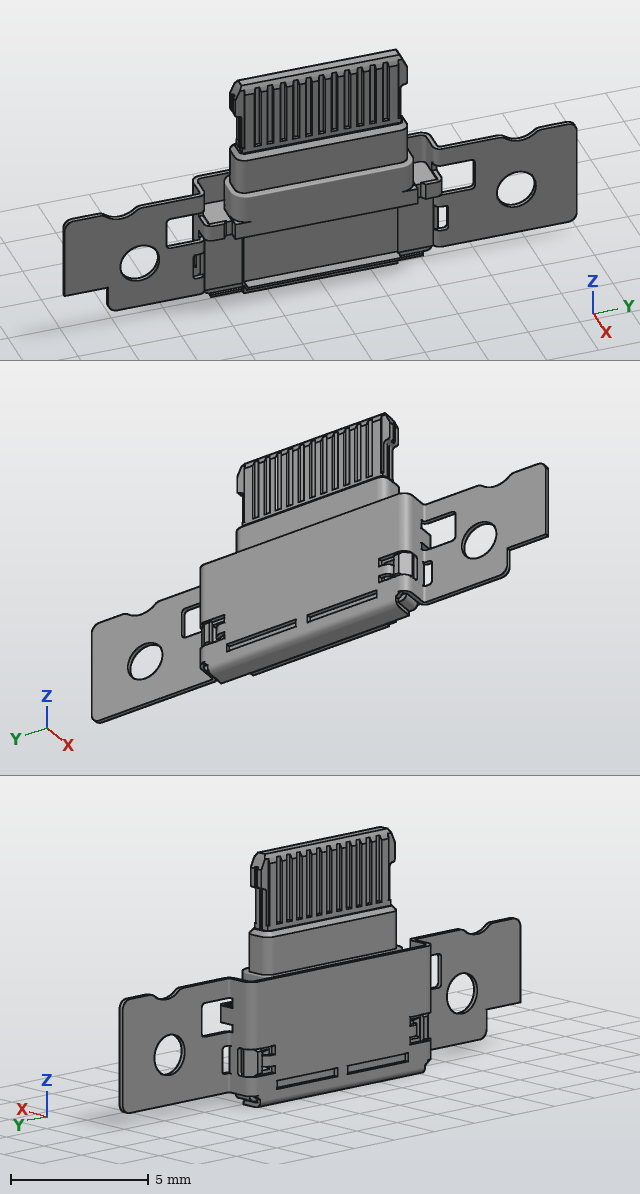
import cadquery as cq
import math


SHEET = 0.18
SHELL_HALF = 4.6
SHELL_RADIUS = 0.38
SHELL_BOTTOM = 0.5
SHELL_TOP = 4.76
INNER_HALF = SHELL_HALF - SHEET
FLANGE_X = 1.13
FLANGE_BACK = FLANGE_X + SHEET
BEND_INNER_RADIUS = 0.1
BEND_OUTER_RADIUS = BEND_INNER_RADIUS + SHEET

EAR_END = 9.92
EAR_RADIUS = 0.35
EAR_STEP_Y = 8.23
EAR_STEP_Z = 1.57
HOLE_DIAMETER = 1.5
HOLE_Z = 2.36
HOLE_Y_POSITIONS = (7.58, -7.0)
SCALLOP_Y = 7.74
SCALLOP_HALF = 0.67
SCALLOP_DEPTH = 0.3
SCALLOP_BLEND = 0.4

WINDOW_BOTTOM = 2.75
WINDOW_TOP = 4.03
WINDOW_END = 5.97
WINDOW_X = 0.97
WINDOW_RADIUS = 0.15
TAB_BOTTOM = 3.04
TAB_TOP = 3.67
TAB_BACK = 1.77
TAB_TIP_Y = 3.77
TAB_TIP_TAPER = 0.14

CLIP_BOTTOM = 1.21
CLIP_TOP = 2.25
CLIP_INNER_Y = 3.37
CLIP_DEPTH = 0.67
CLIP_RELIEF_Y = 4.95
CLIP_RELIEF_RADIUS = 0.12
CLIP_OPENING_RADIUS = 0.1
BUMP_INNER_Y = 4.03
BUMP_FLAT_END_Y = 4.25
BUMP_BEVEL_DEPTH = 0.35
BUMP_CHAMFER = 0.1
TONGUE_BEND_Y = 3.55
TONGUE_TIP_Y = 3.87
TONGUE_BOTTOM = 1.49
TONGUE_TOP = 1.9
TONGUE_TIP_X = 0.3
PIT_BOTTOM = 1.35
PIT_TOP = 2.1
PIT_INNER_Y = 3.5
PIT_OUTER_Y = 4.0
PIT_DEPTH = 0.22
PIT_TAPER_ANGLE = 30

SLOT_BOTTOM = 0.6
SLOT_TOP = 0.91
SLOT_INNER_Y = 0.25
SLOT_OUTER_Y = 3.27
LIP_HALF = 4.1
LIP_END = 0.91
LIP_RADIUS = 0.25
LIP_TIP_CHAMFER = 0.08
LIP_CORNER_Z = 0.32
LIP_CORNER_HALF = 4.35

BASE_BOTTOM = 0.24
BASE_BACK = 1.0
BASE_GAP = 0.05
BASE_FILLET = 0.24
LEDGE_BACK = 1.59
LEDGE_TOP = 3.61
BLOCK_HALF = 3.53
BLOCK_FRONT = 0.24
BLOCK_BACK = 1.95
BLOCK_CORNER_RADIUS = 0.6
BLOCK_TOP_FILLET = 0.04

TERMINAL_HALF = 2.98
TERMINAL_BOTTOM = 0.15
TERMINAL_BACK = 1.75
TERMINAL_THICKNESS = 0.18
TERMINAL_TIP = 0.12

PLUG_X = 1.07
COLLAR_HALF = 3.33
COLLAR_THICKNESS = 1.2
COLLAR_RADIUS = 0.38
COLLAR_TOP = 6.35
COLLAR_CHAMFER = 0.18
BLADE_TOP = 9.2
BLADE_HALF = 3.08
BLADE_THICKNESS = 0.7
BLADE_SHOULDER_Z = 8.87
BLADE_CHAMFER_Z = 9.05
BLADE_TOP_FLAT = 0.38
CONTACT_DEPTH = 0.05
CONTACT_BOTTOM = 6.55
CONTACT_COUNT = 11
CONTACT_PITCH = 0.5
CONTACT_WIDTH = 0.25
CONTACT_FLOOR_WIDTH = 0.15
RIB_HALF = 2.98
LATCH_HALF = COLLAR_HALF
LATCH_SHOULDER_HALF = 3.15
LATCH_TOP_HALF = 3.05
LATCH_SLOPE_BOTTOM = 8.67
LATCH_BOTTOM = 7.94
LATCH_OUTER_FILLET = 0.1
LATCH_INNER_FILLET = 0.14
EDGE_GROOVE_WIDTH = 0.14
EDGE_GROOVE_DEPTH = 0.05
EDGE_GROOVE_TOP = 8.73

MIRROR_SIDES = (-1, 1)

nearest_to = cq.selectors.NearestToPointSelector


def box(x0, x1, y0, y1, z0, z1):
    """Axis-aligned block between two corners; Y limits may come in either order."""
    return cq.Workplane("XY").box(x1 - x0, abs(y1 - y0), z1 - z0).translate(
        ((x0 + x1) / 2, (y0 + y1) / 2, (z0 + z1) / 2)
    )


def centred(x0, x1, half, z0, z1):
    return box(x0, x1, -half, half, z0, z1)


def plan_prism(points, z0, z1):
    """Extrude an XY outline between two heights."""
    return cq.Workplane("XY").workplane(offset=z0).polyline(points).close().extrude(z1 - z0)


def face_prism(points, x0, x1):
    """Extrude a YZ outline between two X positions."""
    return cq.Workplane("YZ").workplane(offset=x0).polyline(points).close().extrude(x1 - x0)


def side_prism(points, half):
    """Extrude an XZ outline symmetrically along Y."""
    return cq.Workplane("XZ").polyline(points).close().extrude(half, both=True)


def fillet_vertical_edge(body, x, y, radius):
    return body.edges(nearest_to((x, y, (SHELL_BOTTOM + SHELL_TOP) / 2))).fillet(radius)


def make_bent_sheet():
    tray = centred(0, FLANGE_BACK, SHELL_HALF, SHELL_BOTTOM, SHELL_TOP)
    sheet = tray.union(centred(FLANGE_X, FLANGE_BACK, EAR_END, SHELL_BOTTOM, SHELL_TOP))
    sheet = sheet.cut(centred(SHEET, FLANGE_BACK, INNER_HALF, SHELL_BOTTOM, SHELL_TOP))
    for side in MIRROR_SIDES:
        sheet = fillet_vertical_edge(sheet, 0, side * SHELL_HALF, SHELL_RADIUS)
        sheet = fillet_vertical_edge(sheet, SHEET, side * INNER_HALF, SHELL_RADIUS - SHEET)
        sheet = fillet_vertical_edge(sheet, FLANGE_X, side * SHELL_HALF, BEND_INNER_RADIUS)
        sheet = fillet_vertical_edge(sheet, FLANGE_BACK, side * INNER_HALF, BEND_OUTER_RADIUS)
    return sheet


def make_scallop(y_centre):
    """Shallow rounded dip in the top edge of an ear, blended into the edge."""
    return (
        cq.Workplane("YZ")
        .workplane(offset=FLANGE_X)
        .moveTo(y_centre - SCALLOP_HALF, SHELL_TOP)
        .threePointArc((y_centre, SHELL_TOP - SCALLOP_DEPTH), (y_centre + SCALLOP_HALF, SHELL_TOP))
        .close()
        .extrude(SHEET)
    )


def trim_ears(sheet):
    sheet = sheet.cut(box(FLANGE_X, FLANGE_BACK, -EAR_END, -EAR_STEP_Y, SHELL_BOTTOM, EAR_STEP_Z))
    rounded_corners = (
        (EAR_END, SHELL_TOP),
        (EAR_END, SHELL_BOTTOM),
        (-EAR_END, SHELL_TOP),
        (-EAR_STEP_Y, SHELL_BOTTOM),
    )
    ear_middle_x = (FLANGE_X + FLANGE_BACK) / 2
    for y, z in rounded_corners:
        sheet = sheet.edges(nearest_to((ear_middle_x, y, z))).fillet(EAR_RADIUS)
    for side in MIRROR_SIDES:
        sheet = sheet.cut(make_scallop(side * SCALLOP_Y))
        for rim in (-SCALLOP_HALF, SCALLOP_HALF):
            corner = (ear_middle_x, side * SCALLOP_Y + rim, SHELL_TOP)
            sheet = sheet.edges(nearest_to(corner)).fillet(SCALLOP_BLEND)
    holes = (
        cq.Workplane("YZ")
        .workplane(offset=FLANGE_X)
        .pushPoints([(y, HOLE_Z) for y in HOLE_Y_POSITIONS])
        .circle(HOLE_DIAMETER / 2)
        .extrude(SHEET)
    )
    return sheet.cut(holes)


def make_ear_window(side):
    y_inner = side * (INNER_HALF - SHEET)
    window = box(WINDOW_X, FLANGE_BACK, y_inner, side * WINDOW_END, WINDOW_BOTTOM, WINDOW_TOP)
    outer_face = ">Y" if side > 0 else "<Y"
    return window.faces(outer_face).edges("|X").fillet(WINDOW_RADIUS)


def make_tab(side):
    """Side wall strip carried past the ears and curled inwards behind the ledge."""
    wall = box(WINDOW_X, TAB_BACK, side * INNER_HALF, side * SHELL_HALF, TAB_BOTTOM, TAB_TOP)
    hook = plan_prism(
        [
            (TAB_BACK, side * SHELL_HALF),
            (TAB_BACK, side * (TAB_TIP_Y + TAB_TIP_TAPER)),
            (TAB_BACK - SHEET, side * TAB_TIP_Y),
            (TAB_BACK - SHEET, side * SHELL_HALF),
        ],
        TAB_BOTTOM,
        TAB_TOP,
    )
    tab = wall.union(hook)
    corner = (TAB_BACK, side * SHELL_HALF, (TAB_BOTTOM + TAB_TOP) / 2)
    return tab.edges(nearest_to(corner)).fillet(BEND_OUTER_RADIUS)


def make_clip_opening(side):
    front = box(0, CLIP_DEPTH, side * CLIP_INNER_Y, side * SHELL_HALF, CLIP_BOTTOM, CLIP_TOP)
    front = front.faces(">X").edges("|Y").fillet(CLIP_OPENING_RADIUS)
    relief_front = FLANGE_X - BEND_INNER_RADIUS
    relief = box(relief_front, FLANGE_BACK, side * SHELL_HALF, side * CLIP_RELIEF_Y, CLIP_BOTTOM, CLIP_TOP)
    outer_face = ">Y" if side > 0 else "<Y"
    relief = relief.faces(outer_face).edges("|X").fillet(CLIP_RELIEF_RADIUS)
    bend_gap = box(FLANGE_X, FLANGE_BACK, side * INNER_HALF, side * SHELL_HALF, CLIP_BOTTOM, CLIP_TOP)
    return front.union(relief).union(bend_gap)


def make_tongue(side):
    """Tongue of the front wall that curves inwards inside the clip opening."""
    return (
        cq.Workplane("XY")
        .workplane(offset=TONGUE_BOTTOM)
        .moveTo(0, side * CLIP_INNER_Y)
        .lineTo(0, side * TONGUE_BEND_Y)
        .tangentArcPoint((TONGUE_TIP_X, side * TONGUE_TIP_Y), relative=False)
        .lineTo(SHEET, side * TONGUE_BEND_Y)
        .lineTo(SHEET, side * CLIP_INNER_Y)
        .close()
        .extrude(TONGUE_TOP - TONGUE_BOTTOM)
    )


def make_bump(side):
    """Bevelled housing bump that fills the corner of the clip opening."""
    bump = plan_prism(
        [
            (0, side * BUMP_INNER_Y),
            (0, side * BUMP_FLAT_END_Y),
            (BUMP_BEVEL_DEPTH, side * SHELL_HALF),
            (BUMP_BEVEL_DEPTH + BUMP_CHAMFER, side * SHELL_HALF),
            (BUMP_BEVEL_DEPTH + BUMP_CHAMFER, side * BUMP_INNER_Y),
        ],
        CLIP_BOTTOM,
        CLIP_TOP,
    )
    return bump.faces("<X").edges("|Y").chamfer(BUMP_CHAMFER)


def make_pit(side):
    """Tapered pit in the housing that gives the tongue room to bend inwards."""
    return (
        cq.Workplane("YZ")
        .workplane(offset=SHEET)
        .center(side * (PIT_INNER_Y + PIT_OUTER_Y) / 2, (PIT_BOTTOM + PIT_TOP) / 2)
        .rect(PIT_OUTER_Y - PIT_INNER_Y, PIT_TOP - PIT_BOTTOM)
        .extrude(PIT_DEPTH, taper=PIT_TAPER_ANGLE)
    )


def make_lip():
    lower_wall = face_prism(
        [
            (-LIP_CORNER_HALF, SHELL_BOTTOM),
            (-LIP_HALF, LIP_CORNER_Z),
            (LIP_HALF, LIP_CORNER_Z),
            (LIP_CORNER_HALF, SHELL_BOTTOM),
        ],
        0,
        SHEET,
    )
    fold = side_prism(
        [
            (0, LIP_CORNER_Z),
            (0, 0),
            (LIP_END, 0),
            (LIP_END, SHEET - LIP_TIP_CHAMFER),
            (LIP_END - LIP_TIP_CHAMFER, SHEET),
            (SHEET, SHEET),
            (SHEET, LIP_CORNER_Z),
        ],
        LIP_HALF,
    )
    fold = fold.edges(nearest_to((0, 0, 0))).fillet(LIP_RADIUS)
    return lower_wall.union(fold)


def make_shell():
    shell = trim_ears(make_bent_sheet())
    for side in MIRROR_SIDES:
        shell = shell.cut(make_ear_window(side)).union(make_tab(side))
        shell = shell.cut(make_clip_opening(side)).union(make_tongue(side))
        shell = shell.cut(box(0, SHEET, side * SLOT_INNER_Y, side * SLOT_OUTER_Y, SLOT_BOTTOM, SLOT_TOP))
    return shell.union(make_lip())


def make_housing():
    core = centred(SHEET, FLANGE_X, INNER_HALF, SHELL_BOTTOM, LEDGE_TOP)
    core = core.edges("|Z and <X").fillet(SHELL_RADIUS - SHEET)
    foot = centred(SHEET + BASE_GAP, BASE_BACK, INNER_HALF, BASE_BOTTOM, SHELL_BOTTOM)
    foot = foot.faces("<Z").edges("|X").fillet(BASE_FILLET)
    ledge = centred(FLANGE_X, LEDGE_BACK, INNER_HALF, TAB_BOTTOM, LEDGE_TOP)
    block = centred(FLANGE_X, BLOCK_BACK, BLOCK_HALF, TAB_BOTTOM, TAB_TOP)
    rim = centred(BLOCK_FRONT, BLOCK_BACK, BLOCK_HALF, LEDGE_TOP, SHELL_TOP)
    rim = rim.edges("|Z").fillet(BLOCK_CORNER_RADIUS)
    rim = rim.faces(">Z").edges().fillet(BLOCK_TOP_FILLET)
    housing = core.union(foot).union(ledge).union(block).union(rim)
    for side in MIRROR_SIDES:
        housing = housing.union(make_bump(side)).cut(make_pit(side))
    return housing


def make_terminals():
    """Upright bar behind the housing with a tapered foot pointing backwards."""
    upright = centred(FLANGE_X, FLANGE_BACK, TERMINAL_HALF, TERMINAL_BOTTOM, TAB_BOTTOM)
    foot_top = SHELL_BOTTOM + TERMINAL_THICKNESS
    foot = side_prism(
        [
            (FLANGE_BACK, SHELL_BOTTOM),
            (TERMINAL_BACK - TERMINAL_TIP, SHELL_BOTTOM),
            (TERMINAL_BACK, foot_top - TERMINAL_THICKNESS / 2),
            (TERMINAL_BACK, foot_top),
            (FLANGE_BACK, foot_top),
        ],
        TERMINAL_HALF,
    )
    return upright.union(foot)


def make_collar():
    half_thickness = COLLAR_THICKNESS / 2
    collar = centred(PLUG_X - half_thickness, PLUG_X + half_thickness, COLLAR_HALF, TAB_TOP, COLLAR_TOP)
    return collar.edges("|Z").fillet(COLLAR_RADIUS).faces(">Z").edges().chamfer(COLLAR_CHAMFER)


def make_contact_groove(surface_x, inward, y):
    """Groove with sloping walls, cut from a blade face in the given X direction and open at the top."""
    taper = math.degrees(math.atan2((CONTACT_WIDTH - CONTACT_FLOOR_WIDTH) / 2, CONTACT_DEPTH))
    length = BLADE_TOP + CONTACT_WIDTH - CONTACT_BOTTOM
    return (
        cq.Workplane("YZ")
        .workplane(offset=surface_x)
        .center(y, CONTACT_BOTTOM + length / 2)
        .rect(CONTACT_WIDTH, length)
        .extrude(inward * CONTACT_DEPTH, taper=taper)
    )


def make_blade():
    half = BLADE_THICKNESS / 2
    groove_half = half - CONTACT_DEPTH
    top_half = BLADE_TOP_FLAT / 2
    right_profile = [
        (half, COLLAR_TOP),
        (half, BLADE_SHOULDER_Z),
        (groove_half, BLADE_CHAMFER_Z),
        (top_half, BLADE_TOP),
    ]
    left_profile = [(-x, z) for x, z in reversed(right_profile)]
    cross_section = [(PLUG_X + x, z) for x, z in right_profile + left_profile]

    right_edge = [
        (BLADE_HALF, COLLAR_TOP),
        (BLADE_HALF, LATCH_BOTTOM),
        (LATCH_HALF, LATCH_BOTTOM),
        (LATCH_HALF, LATCH_SLOPE_BOTTOM),
        (LATCH_SHOULDER_HALF, BLADE_CHAMFER_Z),
        (LATCH_TOP_HALF, BLADE_TOP),
    ]
    left_edge = [(-y, z) for y, z in reversed(right_edge)]
    outline = face_prism(right_edge + left_edge, PLUG_X - half, PLUG_X + half)
    for side in MIRROR_SIDES:
        for y, radius in ((LATCH_HALF, LATCH_OUTER_FILLET), (BLADE_HALF, LATCH_INNER_FILLET)):
            corner = (PLUG_X, side * y, LATCH_BOTTOM)
            outline = outline.edges(nearest_to(corner)).fillet(radius)
    blade = outline.intersect(side_prism(cross_section, LATCH_HALF))

    for face in MIRROR_SIDES:
        x0, x1 = sorted((PLUG_X + face * half, PLUG_X + face * groove_half))
        for index in range(CONTACT_COUNT):
            y = (index - (CONTACT_COUNT - 1) / 2) * CONTACT_PITCH
            blade = blade.cut(make_contact_groove(PLUG_X + face * half, -face, y))
        for side in MIRROR_SIDES:
            blade = blade.cut(box(x0, x1, side * RIB_HALF, side * LATCH_HALF, CONTACT_BOTTOM, BLADE_TOP))

    groove_x0 = PLUG_X - EDGE_GROOVE_WIDTH / 2
    groove_x1 = PLUG_X + EDGE_GROOVE_WIDTH / 2
    for side in MIRROR_SIDES:
        for outer, z0, z1 in (
            (BLADE_HALF, COLLAR_TOP, LATCH_BOTTOM),
            (LATCH_HALF, LATCH_BOTTOM, EDGE_GROOVE_TOP),
        ):
            inner = outer - EDGE_GROOVE_DEPTH
            blade = blade.cut(box(groove_x0, groove_x1, side * inner, side * outer, z0, z1))
    return blade


body = make_shell().union(make_housing()).union(make_terminals())
result = body.union(make_collar()).union(make_blade())